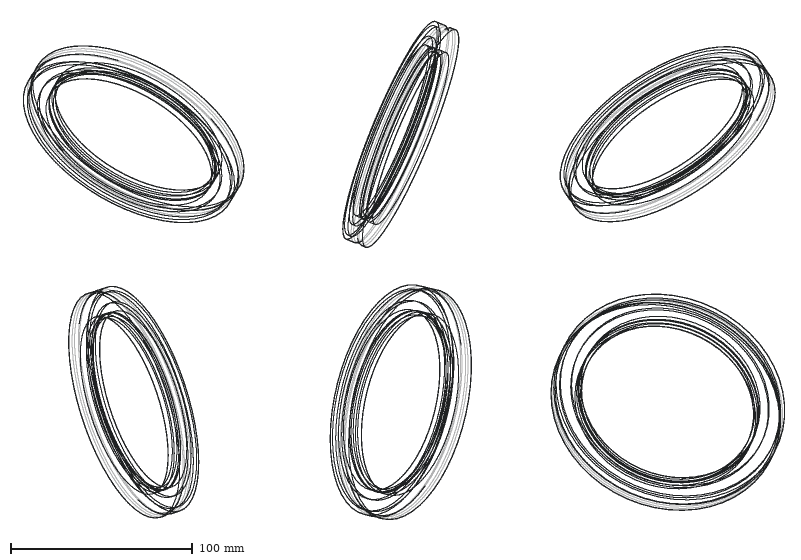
import cadquery as cq
import math

outer_diameter = 130.0
ring_width = 12.0
bore_diameter = 98.3

channel_outer_diameter = 125.0
channel_inner_diameter = 112.3
channel_depth = 2.1

counterbore_diameter = 101.9
shoulder_depth = 5.2
relief_diameter = 102.7
relief_width = 1.2

flange_thickness = 2.9
back_recess_diameter = 102.7

groove_center = 7.4
groove_half_width = 2.3
groove_depth = 1.3
lip_round_width = 1.2

outer_radius = outer_diameter / 2
bore_radius = bore_diameter / 2
channel_outer_radius = channel_outer_diameter / 2
channel_inner_radius = channel_inner_diameter / 2
counterbore_radius = counterbore_diameter / 2
back_recess_radius = back_recess_diameter / 2
relief_radius = relief_diameter / 2

front_y = -ring_width / 2
back_y = front_y + ring_width
channel_floor_y = front_y + channel_depth
shoulder_y = front_y + shoulder_depth
recess_y = shoulder_y + flange_thickness
groove_y = front_y + groove_center

turn_angle = 2 * math.atan(groove_depth / groove_half_width)
lip_radius = lip_round_width / math.sin(turn_angle)
bottom_half_width = groove_half_width - lip_round_width
lip_drop = lip_radius * (1 - math.cos(turn_angle))


def lip_middle(side):
    """Point halfway along a lip arc; side is -1 for front, 1 for back."""
    across = groove_half_width - lip_radius * math.sin(turn_angle / 2)
    drop = lip_radius * (1 - math.cos(turn_angle / 2))
    return (outer_radius - drop, groove_y + side * across)


def make_ring():
    joint_radius = outer_radius - lip_drop
    profile = (
        cq.Workplane("XY")
        .moveTo(back_recess_radius, back_y)
        .lineTo(back_recess_radius, recess_y)
        .lineTo(bore_radius, recess_y)
        .lineTo(bore_radius, shoulder_y)
        .lineTo(relief_radius, shoulder_y)
        .lineTo(relief_radius, shoulder_y - relief_width)
        .lineTo(counterbore_radius, shoulder_y - relief_width)
        .lineTo(counterbore_radius, front_y)
        .lineTo(channel_inner_radius, front_y)
        .lineTo(channel_inner_radius, channel_floor_y)
        .lineTo(channel_outer_radius, channel_floor_y)
        .lineTo(channel_outer_radius, front_y)
        .lineTo(outer_radius, front_y)
        .lineTo(outer_radius, groove_y - groove_half_width)
        .threePointArc(lip_middle(-1), (joint_radius, groove_y - bottom_half_width))
        .threePointArc(
            (outer_radius - groove_depth, groove_y),
            (joint_radius, groove_y + bottom_half_width),
        )
        .threePointArc(lip_middle(1), (outer_radius, groove_y + groove_half_width))
        .lineTo(outer_radius, back_y)
        .close()
    )
    return profile.revolve(360, (0, 0, 0), (0, 1, 0))


result = make_ring()